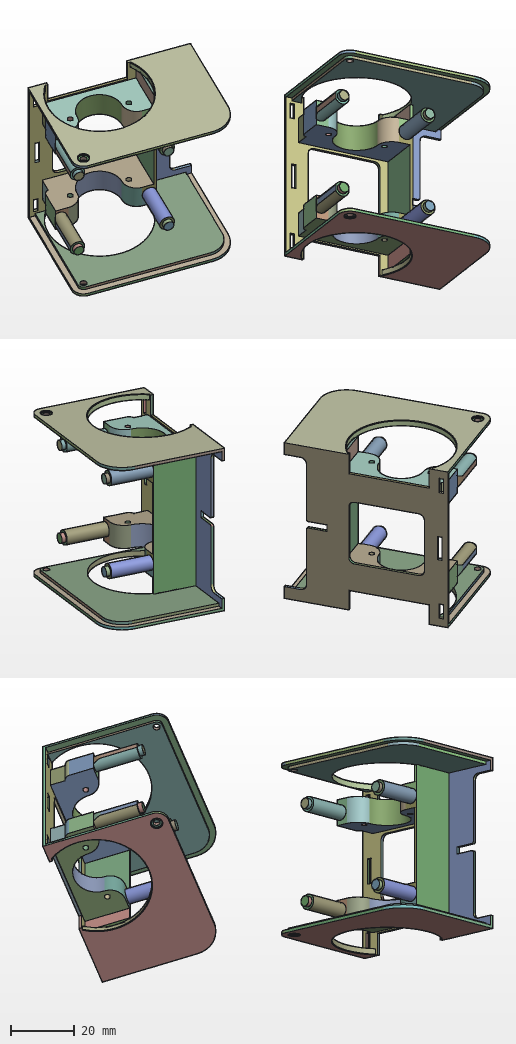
import cadquery as cq
import math

LENGTH_X = 41.0
DEPTH_Y = 55.55
HEIGHT_Z = 56.0
SHEET = 1.0

PAD_INSET = 2.0
FRONT_CORNER_RADIUS = 4.0
BACK_CORNER_RADIUS = 9.0
MAIN_HOLE_X = 11.0
MAIN_HOLE_Y = 20.0
MAIN_HOLE_RADIUS = 35.0 / 2
RIM_CHAMFER = 0.2
SCREW_HOLE_DIAMETER = 2.2
SCREW_HEAD_DIAMETER = 3.5
SCREW_HEAD_DEPTH = 0.5

MAIN_HOLE_HALF_CHORD = math.sqrt(MAIN_HOLE_RADIUS**2 - MAIN_HOLE_X**2)
CHORD_BACK_Y = MAIN_HOLE_Y + MAIN_HOLE_HALF_CHORD
CHEEK_SLOT_DEPTH = 7.0
WINDOW_FRONT_Y = 8.0
WINDOW_HEIGHT = 22.2
WINDOW_CORNER_RADIUS = 2.0
RECESS_FRONT_Y = 48.05
RECESS_HEIGHT = 47.5
RECESS_CORNER_RADIUS = 2.0
NOTCH_FRONT_Y = 41.05
NOTCH_HEIGHT = 2.3
NOTCH_MOUTH_RADIUS = 0.7
SLIT_WIDTH = 1.5
END_SLIT_FRONT_Y = 1.5
END_SLIT_LENGTH = 5.05
END_SLIT_OFFSET_Z = 22.55
MIDDLE_SLIT_FRONT_Y = 2.0
MIDDLE_SLIT_LENGTH = 8.25

BLOCK_END_X = 16.0
BLOCK_FRONT_Y = 2.9
RIB_FRONT_Y = 36.5
RIB_BACK_Y = RIB_FRONT_Y + SHEET
BLOCK_SPANS_Z = ((7.5, 15.5), (40.0, 48.5))
BORE_RADIUS = 7.6
NOSE_RADIUS = BLOCK_END_X - MAIN_HOLE_X
PIN_HOLE_DIAMETER = 1.8
PIN_HOLE_OFFSET = 10.0
STEP_X = 5.95
STEP_Y = 4.4
STEP_CORNER_RADIUS = 2.0

POST_DIAMETER = 5.0
POST_END_X = 31.0
TIP_DIAMETER = 3.4
TIP_END_X = 32.5
POST_OFFSET_Z = 16.0
FRONT_POST_Y = 4.3
BACK_POST_Y = RIB_BACK_Y - POST_DIAMETER / 2
FLAT_HEIGHT = 2.0
FLAT_Y = FRONT_POST_Y - math.sqrt(POST_DIAMETER**2 - FLAT_HEIGHT**2) / 2
FLAT_START_X = 18.9

MID_Z = HEIGHT_Z / 2


def box(x_range, y_range, z_range):
    """Axis-aligned box from (low, high) limits."""
    size = [high - low for low, high in (x_range, y_range, z_range)]
    corner = (x_range[0], y_range[0], z_range[0])
    return cq.Workplane("XY").box(*size, centered=False).translate(corner)


def wall_prism(y_range, z_range):
    """Box through the wall thickness."""
    return box((0, SHEET), y_range, z_range)


def plate(inset, z_low):
    """Cheek or pad sheet whose two free corners are rounded."""
    sheet = box((0, LENGTH_X - inset), (inset, DEPTH_Y - inset), (z_low, z_low + SHEET))
    sheet = sheet.edges("|Z and >X and <Y").fillet(FRONT_CORNER_RADIUS - inset)
    return sheet.edges("|Z and >X and >Y").fillet(BACK_CORNER_RADIUS - inset)


def hole_with_chamfered_mouth(x, y, radius, depth):
    """Cutter from Z = 0 upward with a chamfered mouth at Z = 0."""
    mouth = cq.Solid.makeCone(radius + RIM_CHAMFER, radius, RIM_CHAMFER)
    bore = cq.Workplane("XY").circle(radius).extrude(depth)
    return bore.union(cq.Workplane(mouth)).translate((x, y, 0))


def make_bottom_cheek():
    cheek = plate(0, 0).union(plate(PAD_INSET, SHEET))
    thickness = 2 * SHEET
    main_hole = hole_with_chamfered_mouth(MAIN_HOLE_X, MAIN_HOLE_Y, MAIN_HOLE_RADIUS, thickness)
    inside_wall = box((SHEET, LENGTH_X), (0, DEPTH_Y), (0, thickness))
    screw_x = LENGTH_X - FRONT_CORNER_RADIUS
    screw_y = FRONT_CORNER_RADIUS
    head = hole_with_chamfered_mouth(screw_x, screw_y, SCREW_HEAD_DIAMETER / 2, SCREW_HEAD_DEPTH)
    shank = cq.Workplane("XY").center(screw_x, screw_y).circle(SCREW_HOLE_DIAMETER / 2).extrude(thickness)
    return cheek.cut(main_hole.intersect(inside_wall)).cut(head).cut(shank)


def make_wall_openings():
    chord = (MAIN_HOLE_Y - MAIN_HOLE_HALF_CHORD, CHORD_BACK_Y)
    openings = wall_prism(chord, (0, CHEEK_SLOT_DEPTH))
    openings = openings.union(wall_prism(chord, (HEIGHT_Z - CHEEK_SLOT_DEPTH, HEIGHT_Z)))

    window_z = (MID_Z - WINDOW_HEIGHT / 2, MID_Z + WINDOW_HEIGHT / 2)
    window = wall_prism((WINDOW_FRONT_Y, CHORD_BACK_Y), window_z)
    openings = openings.union(window.edges("|X").fillet(WINDOW_CORNER_RADIUS))

    slits = [(END_SLIT_FRONT_Y, END_SLIT_LENGTH, MID_Z + side * END_SLIT_OFFSET_Z) for side in (-1, 1)]
    slits.append((MIDDLE_SLIT_FRONT_Y, MIDDLE_SLIT_LENGTH, MID_Z))
    for front_y, length, mid_z in slits:
        slit = wall_prism((front_y, front_y + SLIT_WIDTH), (mid_z - length / 2, mid_z + length / 2))
        openings = openings.union(slit)

    recess = wall_prism((RECESS_FRONT_Y, DEPTH_Y), (MID_Z - RECESS_HEIGHT / 2, MID_Z + RECESS_HEIGHT / 2))
    recess = recess.edges("|X and <Y").fillet(RECESS_CORNER_RADIUS)
    notch = wall_prism((NOTCH_FRONT_Y, DEPTH_Y), (MID_Z - NOTCH_HEIGHT / 2, MID_Z + NOTCH_HEIGHT / 2))
    recess = recess.union(notch)
    mouth = cq.selectors.BoxSelector(
        (-SHEET, RECESS_FRONT_Y - SHEET, MID_Z - NOTCH_HEIGHT),
        (2 * SHEET, RECESS_FRONT_Y + SHEET, MID_Z + NOTCH_HEIGHT),
    )
    recess = recess.edges("|X").edges(mouth).fillet(NOTCH_MOUTH_RADIUS)
    return openings.union(recess)


def make_block(z_range):
    """Clamp block with a half-round bore flowing into rounded noses."""
    low_z, high_z = z_range
    bore_back = MAIN_HOLE_Y + BORE_RADIUS
    bore_front = MAIN_HOLE_Y - BORE_RADIUS
    bend = NOSE_RADIUS * math.sqrt(0.5)
    back_nose_y = bore_back + NOSE_RADIUS
    front_nose_y = bore_front - NOSE_RADIUS
    corner_x = STEP_X + STEP_CORNER_RADIUS
    corner_y = BLOCK_FRONT_Y + STEP_CORNER_RADIUS
    corner_reach = math.sqrt(STEP_CORNER_RADIUS**2 - (corner_y - STEP_Y) ** 2)
    corner_bend = STEP_CORNER_RADIUS * math.sqrt(0.5)
    block = (
        cq.Workplane("XY")
        .moveTo(SHEET, STEP_Y)
        .lineTo(corner_x - corner_reach, STEP_Y)
        .threePointArc((corner_x - corner_bend, corner_y - corner_bend), (corner_x, BLOCK_FRONT_Y))
        .lineTo(BLOCK_END_X, BLOCK_FRONT_Y)
        .lineTo(BLOCK_END_X, front_nose_y)
        .threePointArc((MAIN_HOLE_X + bend, front_nose_y + bend), (MAIN_HOLE_X, bore_front))
        .threePointArc((MAIN_HOLE_X - BORE_RADIUS, MAIN_HOLE_Y), (MAIN_HOLE_X, bore_back))
        .threePointArc((MAIN_HOLE_X + bend, back_nose_y - bend), (BLOCK_END_X, back_nose_y))
        .lineTo(BLOCK_END_X, RIB_FRONT_Y)
        .lineTo(SHEET, RIB_FRONT_Y)
        .close()
        .extrude(high_z - low_z)
    )
    pin_places = [(MAIN_HOLE_X, MAIN_HOLE_Y + side * PIN_HOLE_OFFSET) for side in (-1, 1)]
    pins = cq.Workplane("XY").pushPoints(pin_places).circle(PIN_HOLE_DIAMETER / 2).extrude(high_z - low_z)
    return block.cut(pins).translate((0, 0, low_z))


def make_post(y, z):
    """Post along X with a thinner tip, standing on the end face of a block."""
    root = cq.Workplane("YZ", origin=(BLOCK_END_X, y, z))
    post = root.circle(POST_DIAMETER / 2).extrude(POST_END_X - BLOCK_END_X)
    return post.union(root.circle(TIP_DIAMETER / 2).extrude(TIP_END_X - BLOCK_END_X))


def make_front_post(z):
    """Post with a flat facing -Y that curves back to the block front at its root."""
    trim = (
        cq.Workplane("XY", origin=(0, 0, z - POST_DIAMETER))
        .moveTo(POST_END_X, FLAT_Y)
        .lineTo(FLAT_START_X, FLAT_Y)
        .tangentArcPoint((BLOCK_END_X, BLOCK_FRONT_Y), relative=False)
        .lineTo(BLOCK_END_X, -POST_DIAMETER)
        .lineTo(POST_END_X, -POST_DIAMETER)
        .close()
        .extrude(2 * POST_DIAMETER)
    )
    return make_post(FRONT_POST_Y, z).cut(trim)


bottom_cheek = make_bottom_cheek()
wall = wall_prism((0, DEPTH_Y), (0, HEIGHT_Z))
rib = box((SHEET, BLOCK_END_X), (RIB_FRONT_Y, RIB_BACK_Y), (2 * SHEET, HEIGHT_Z - 2 * SHEET))

result = bottom_cheek.union(bottom_cheek.mirror("XY", (0, 0, MID_Z)))
result = result.union(wall).union(rib).cut(make_wall_openings())
for span in BLOCK_SPANS_Z:
    result = result.union(make_block(span))
for side in (-1, 1):
    post_z = MID_Z + side * POST_OFFSET_Z
    result = result.union(make_front_post(post_z)).union(make_post(BACK_POST_Y, post_z))